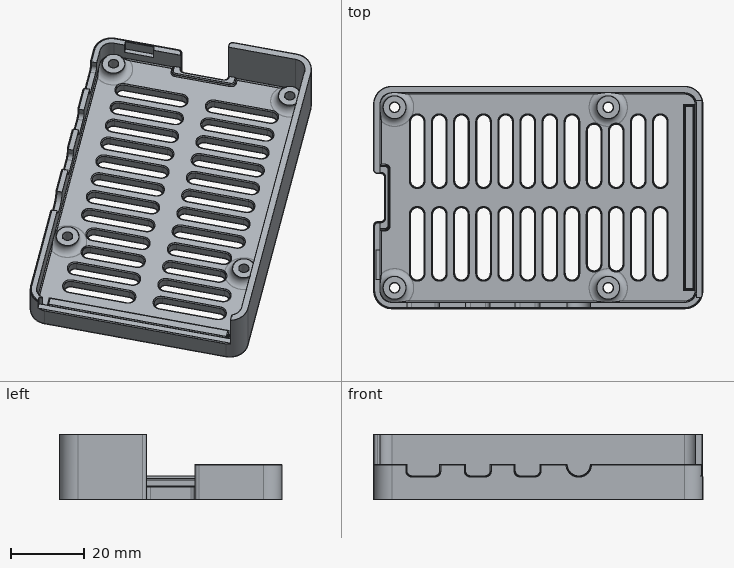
import cadquery as cq
import math

LENGTH = 89.4
WIDTH = 60.4
TALL_HEIGHT = 17.75
LOW_HEIGHT = 9.6
WALL = 1.75
FLOOR = 3.0
CORNER_RADIUS = 5.0
CHAMFER = 0.3
RIM_BEVEL_WIDTH = 0.3
RIM_BEVEL_DROP = 0.15
FOOT_CHAMFER = 0.35
LEFT = -LENGTH / 2
RIGHT = LENGTH / 2
FRONT = -WIDTH / 2
REAR = WIDTH / 2

BOARD_GAP = 2.2
HOLE_INSET = 3.5
HOLE_SPACING_X = 58.0
HOLE_SPACING_Y = 49.0
BOARD_LEFT = LEFT + BOARD_GAP

STANDOFF_DIAMETER = 6.2
STANDOFF_HOLE = 2.75
STANDOFF_TOP = 5.6
STANDOFF_FILLET = 2.1

SLOT_WIDTH = 3.65
SLOT_LENGTH = 19.65
SLOT_PITCH = 6.0
SLOT_COLUMNS = 12
SLOT_INNER_END = 2.75
SLOT_START_X = LEFT + 11.85
SHORT_COLUMNS = (8, 9)
SHORT_CUT = 2.5

NOTCH_WIDTH = 13.1
NOTCH_DEPTH = 3.0
NOTCH_RADIUS = 1.1
STEP_REACH = 4.2
STEP_LENGTH = 17.5
STEP_HEIGHT = 3.7

LIGHT_WALL = 0.65
LIGHT_WIDTH = 8.0
LIGHT_CENTRE_Y = FRONT + 11.9
LIGHT_FLOOR = 6.15

RIGHT_WALL_HEIGHT = 6.5
OPENING_FRONT = FRONT + 3.05
OPENING_FRONT_INNER = FRONT + 3.95
OPENING_REAR = REAR - 3.8
RIB_LENGTH = 50.0
RIB_INNER = 5.0
RIB_OUTER = 2.45
RIB_TOP = 5.7

PORT_FLOOR = 6.5
PORT_RADIUS = 1.3
POWER_PORT_X = BOARD_LEFT + 11.3
POWER_PORT_WIDTH = 8.9
VIDEO_PORTS_X = (BOARD_LEFT + 26.1, BOARD_LEFT + 39.6)
VIDEO_PORT_WIDTH = 6.7
AUDIO_PORT_X = BOARD_LEFT + 53.5
AUDIO_DIAMETER = 6.3


def box(x_min, x_max, y_min, y_max, z_min, z_max):
    """Box given by its limits along each axis."""
    size = (x_max - x_min, y_max - y_min, z_max - z_min)
    return cq.Workplane("XY").box(*size, centered=False).translate((x_min, y_min, z_min))


def rounded_block(inset, z_min, z_max):
    """Tray outline, moved inward by inset, between two heights."""
    block = cq.Workplane("XY", origin=(0, 0, z_min))
    block = block.rect(LENGTH - 2 * inset, WIDTH - 2 * inset).extrude(z_max - z_min)
    return block.edges("|Z").fillet(CORNER_RADIUS - inset)


def notch_cutter():
    """Card notch with rounded inner corners and a rounded mouth."""
    half = NOTCH_WIDTH / 2
    radius = NOTCH_RADIUS
    bend = radius * (1 - 0.5 ** 0.5)
    back = LEFT + NOTCH_DEPTH
    side = (
        cq.Workplane("XY")
        .moveTo(LEFT, 0)
        .lineTo(LEFT, half + radius)
        .threePointArc((LEFT + bend, half + bend), (LEFT + radius, half))
        .lineTo(back - radius, half)
        .threePointArc((back - bend, half - bend), (back, half - radius))
        .lineTo(back, 0)
        .close()
        .extrude(TALL_HEIGHT)
    )
    return side.union(side.mirror("XZ"))


def make_shell():
    """Floor and walls: low bevelled rim all round, raised at the rear."""
    notch = notch_cutter()
    low = rounded_block(0, 0, LOW_HEIGHT - RIM_BEVEL_DROP).cut(notch)
    bevel_angle = math.degrees(math.atan2(RIM_BEVEL_WIDTH, RIM_BEVEL_DROP))
    low = low.faces(">Z").wires().toPending().extrude(RIM_BEVEL_DROP, taper=bevel_angle)
    rear_half = box(LEFT, RIGHT, 0, REAR, 0, TALL_HEIGHT)
    tall = rounded_block(0, 0, TALL_HEIGHT).intersect(rear_half).cut(notch)
    cavity = rounded_block(WALL, FLOOR, TALL_HEIGHT).faces("<Z").edges().chamfer(FOOT_CHAMFER)
    return low.union(tall).cut(cavity)


def lower_right_wall(body):
    """Lower the right wall between the corners and chamfer its outer top edge."""
    inner_face = RIGHT - WALL
    wall_gap = box(inner_face, RIGHT, OPENING_FRONT, OPENING_REAR, RIGHT_WALL_HEIGHT, TALL_HEIGHT)
    corner_gap = box(
        RIGHT - CORNER_RADIUS, inner_face,
        OPENING_FRONT_INNER, OPENING_REAR,
        RIGHT_WALL_HEIGHT, TALL_HEIGHT,
    )
    edge = cq.Workplane("XZ", origin=(RIGHT, OPENING_FRONT, RIGHT_WALL_HEIGHT))
    edge = edge.polyline([(-CHAMFER, 0), (0, 0), (0, -CHAMFER)]).close()
    edge = edge.extrude(OPENING_FRONT - OPENING_REAR)
    return body.cut(wall_gap).cut(corner_gap).cut(edge)


def make_rib():
    """Rib beside the right wall, with a chamfered top and a sloped foot."""
    half = RIB_LENGTH / 2
    rib = box(RIGHT - RIB_INNER, RIGHT - RIB_OUTER, -half, half, 0, RIB_TOP)
    rib = rib.faces(">Z").edges().chamfer(CHAMFER)
    foot = box(
        RIGHT - RIB_INNER - CHAMFER, RIGHT - RIB_OUTER + CHAMFER,
        -half - CHAMFER, half + CHAMFER, 0, FLOOR + CHAMFER,
    )
    return rib.union(foot.faces(">Z").edges().chamfer(CHAMFER))


def make_step():
    """Raised step that frames the card notch, with a sloped foot."""
    half = STEP_LENGTH / 2
    root = LEFT + NOTCH_RADIUS
    step = box(root, LEFT + STEP_REACH, -half, half, 0, STEP_HEIGHT)
    step = step.edges("|Z and >X").fillet(NOTCH_RADIUS)
    step = step.cut(notch_cutter()).faces(">Z").edges().chamfer(CHAMFER)
    foot = box(root, LEFT + STEP_REACH + CHAMFER, -half - CHAMFER, half + CHAMFER, 0, FLOOR + CHAMFER)
    foot = foot.edges("|Z and >X").fillet(NOTCH_RADIUS + CHAMFER)
    foot = foot.faces(">Z").edges().chamfer(CHAMFER)
    return step.union(foot.cut(notch_cutter()))


def standoff_points():
    x_left = BOARD_LEFT + HOLE_INSET
    half = HOLE_SPACING_Y / 2
    return [(x, y) for x in (x_left, x_left + HOLE_SPACING_X) for y in (-half, half)]


def make_standoffs():
    """Posts that flare into the floor, trimmed to stay inside the walls."""
    top_radius = STANDOFF_DIAMETER / 2
    foot_radius = top_radius + STANDOFF_FILLET
    bend = STANDOFF_FILLET * (1 - 0.5 ** 0.5)
    profile = (
        cq.Workplane("XZ")
        .lineTo(foot_radius, 0)
        .lineTo(foot_radius, FLOOR)
        .threePointArc((top_radius + bend, FLOOR + bend), (top_radius, FLOOR + STANDOFF_FILLET))
        .lineTo(top_radius, STANDOFF_TOP)
        .lineTo(0, STANDOFF_TOP)
        .close()
    )
    post = profile.revolve(360, (0, 0, 0), (0, 1, 0))
    posts = cq.Workplane("XY")
    for x, y in standoff_points():
        posts = posts.union(post.translate((x, y, 0)))
    return posts.intersect(rounded_block(WALL / 2, 0, TALL_HEIGHT))


def cut_standoff_holes(body):
    holes = cq.Workplane("XY").pushPoints(standoff_points()).circle(STANDOFF_HOLE / 2)
    return body.cut(holes.extrude(TALL_HEIGHT))


def vent_cutter(length):
    """Upright slot through the floor, flared at the floor surface."""
    slot = cq.Workplane("XY").slot2D(length, SLOT_WIDTH, 90).extrude(TALL_HEIGHT)
    flare = cq.Workplane("XY", origin=(0, 0, FLOOR - CHAMFER)).slot2D(length, SLOT_WIDTH, 90)
    return slot.union(flare.extrude(CHAMFER, taper=-45))


def cut_vents(body):
    for column in range(SLOT_COLUMNS):
        length = SLOT_LENGTH - (SHORT_CUT if column in SHORT_COLUMNS else 0)
        vent = vent_cutter(length)
        x = SLOT_START_X + column * SLOT_PITCH
        y = SLOT_INNER_END + length / 2
        body = body.cut(vent.translate((x, -y, 0))).cut(vent.translate((x, y, 0)))
    return body


def cut_light_pocket(body):
    y_min = LIGHT_CENTRE_Y - LIGHT_WIDTH / 2
    y_max = LIGHT_CENTRE_Y + LIGHT_WIDTH / 2
    return body.cut(box(LEFT + LIGHT_WALL, LEFT + WALL, y_min, y_max, LIGHT_FLOOR, LOW_HEIGHT))


def cut_port(body, centre_x, sketch):
    """Cut a sketch centred on the low rim through the front wall, flared outward."""
    plane = cq.Workplane("XZ", origin=(centre_x, FRONT + CHAMFER, LOW_HEIGHT)).placeSketch(sketch)
    through = plane.extrude(CHAMFER - WALL)
    flare = plane.extrude(CHAMFER, taper=-45)
    return body.cut(through).cut(flare)


def cut_ports(body):
    height = 2 * (LOW_HEIGHT - PORT_FLOOR)
    power = cq.Sketch().rect(POWER_PORT_WIDTH, height).vertices().fillet(PORT_RADIUS)
    video = cq.Sketch().rect(VIDEO_PORT_WIDTH, height).vertices().fillet(PORT_RADIUS)
    audio = cq.Sketch().circle(AUDIO_DIAMETER / 2)
    body = cut_port(body, POWER_PORT_X, power)
    for centre_x in VIDEO_PORTS_X:
        body = cut_port(body, centre_x, video)
    return cut_port(body, AUDIO_PORT_X, audio)


result = lower_right_wall(make_shell())
result = result.union(make_step()).union(make_rib()).union(make_standoffs())
result = cut_light_pocket(result)
result = cut_ports(result)
result = cut_standoff_holes(result)
result = cut_vents(result)